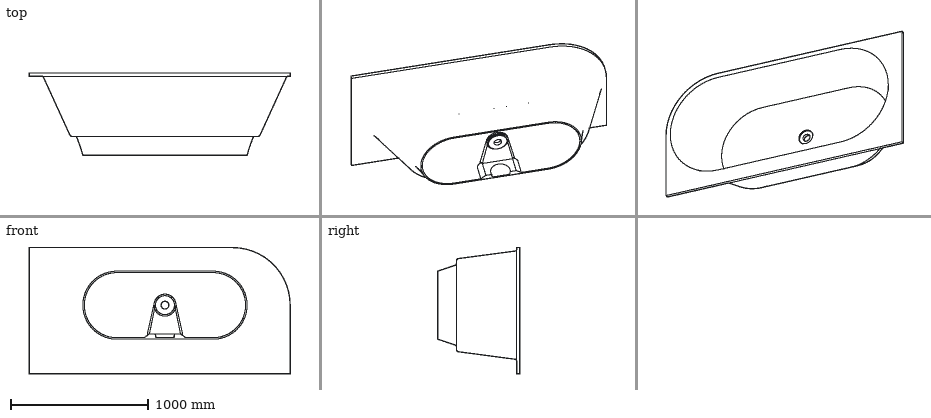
import cadquery as cq
import math


RIM_LENGTH = 1900.0
RIM_HEIGHT = 920.0
RIM_THICKNESS = 25.0
RIM_RADIUS = 420.0
RIM_RIGHT = 912.0
RIM_LEFT = RIM_RIGHT - RIM_LENGTH
RIM_TOP = RIM_RADIUS
RIM_BOTTOM = RIM_TOP - RIM_HEIGHT
RIM_FILLET = 10.0

TOTAL_DEPTH = 600.0
FLOOR_DEPTH = 463.0
RIM_END_CENTRE = RIM_RIGHT - RIM_RADIUS
BODY_RIM_RADIUS = 396.0
FLOOR_END_CENTRE = 350.0
BODY_FLOOR_RADIUS = 338.0
BODY_FLOOR_FILLET = 18.0
WALL = 11.0

SKIRT_TOP_RADIUS = 294.0
SKIRT_FOOT_RADIUS = 248.0
SKIRT_FILLET = 12.0
SKIRT_INSIDE_RADIUS = SKIRT_FOOT_RADIUS - WALL
SKIRT_INSIDE_FILLET = 16.0
UNDERSIDE_DEPTH = 465.0

DRAIN_DIAMETER = 55.0
DRAIN_SEAT_DIAMETER = 2 * DRAIN_DIAMETER
DRAIN_SEAT_THICKNESS = 24.0
BOSS_BASE_RADIUS = 80.0
BOSS_TOP_RADIUS = 69.0
PAD_HEIGHT = 13.0
PAD_DEPTH = UNDERSIDE_DEPTH + PAD_HEIGHT
BOSS_HEIGHT = 10.0
BOSS_DEPTH = PAD_DEPTH + BOSS_HEIGHT
PAD_FLANK = 15.0
PAD_FOOT_HALF_WIDTH = 113.0
SKIRT_PAD_THICKNESS = 28.0
SKIRT_PAD_TOP = SKIRT_PAD_THICKNESS - SKIRT_INSIDE_RADIUS
SKIRT_PAD_FLANK = 38.0
PAD_FOOT = SKIRT_PAD_TOP

RECESS_CENTRE_DEPTH = 581.0
RECESS_TOP_RADIUS = 72.0
RECESS_FLOOR_RADIUS = 67.0
RECESS_FLOOR_FILLET = 10.0

SELECT_MARGIN = 1.0
RIM_JOINT_REACH = (
    RIM_END_CENTRE + BODY_RIM_RADIUS + SELECT_MARGIN,
    BODY_RIM_RADIUS + SELECT_MARGIN,
)
SKIRT_JOINT_REACH = (
    FLOOR_END_CENTRE + SKIRT_TOP_RADIUS + SELECT_MARGIN,
    SKIRT_TOP_RADIUS + SELECT_MARGIN,
)


def plane_at(depth):
    """XZ plane at a depth below the rim face, with its normal toward -Y."""
    return cq.Workplane("XZ", origin=(0, -depth, 0))


def stadium(depth, end_centre, radius):
    """Stadium wire lying along X."""
    return (
        plane_at(depth)
        .moveTo(-end_centre, -radius)
        .lineTo(end_centre, -radius)
        .threePointArc((end_centre + radius, 0), (end_centre, radius))
        .lineTo(-end_centre, radius)
        .threePointArc((-end_centre - radius, 0), (-end_centre, -radius))
        .close()
        .val()
    )


def ruled(first, second):
    """Straight-sided solid between two closed wires."""
    return cq.Workplane(obj=cq.Solid.makeLoft([first, second], True))


def rim():
    return (
        plane_at(0)
        .moveTo(RIM_LEFT, RIM_BOTTOM)
        .lineTo(RIM_RIGHT, RIM_BOTTOM)
        .lineTo(RIM_RIGHT, 0)
        .radiusArc((RIM_END_CENTRE, RIM_TOP), -RIM_RADIUS)
        .lineTo(RIM_LEFT, RIM_TOP)
        .close()
        .extrude(RIM_THICKNESS)
    )


def body():
    tub = ruled(
        stadium(RIM_THICKNESS, RIM_END_CENTRE, BODY_RIM_RADIUS),
        stadium(FLOOR_DEPTH, FLOOR_END_CENTRE, BODY_FLOOR_RADIUS),
    )
    return tub.faces("<Y").edges().fillet(BODY_FLOOR_FILLET)


def skirt():
    return ruled(
        stadium(FLOOR_DEPTH, FLOOR_END_CENTRE, SKIRT_TOP_RADIUS),
        stadium(TOTAL_DEPTH, FLOOR_END_CENTRE, SKIRT_FOOT_RADIUS),
    )


def skirt_space():
    """Hollow of the skirt, from the underside of the floor to the open foot."""
    inside = stadium(UNDERSIDE_DEPTH, FLOOR_END_CENTRE, SKIRT_INSIDE_RADIUS)
    downward = cq.Vector(0, UNDERSIDE_DEPTH - TOTAL_DEPTH, 0)
    space = cq.Workplane(obj=cq.Solid.extrudeLinear(inside, [], downward))
    return space.faces(">Y").edges().fillet(SKIRT_INSIDE_FILLET)


def basin():
    return ruled(
        stadium(0, RIM_END_CENTRE, BODY_RIM_RADIUS - WALL),
        stadium(FLOOR_DEPTH - WALL, FLOOR_END_CENTRE, BODY_FLOOR_RADIUS - WALL),
    )


def slab_edges(solid, depth, half_length, half_height):
    """Edges that lie wholly in the plane at a depth, within a box around the Y axis."""
    low = (-half_length, -depth - SELECT_MARGIN, -half_height)
    high = (half_length, -depth + SELECT_MARGIN, half_height)
    return solid.edges(cq.selectors.BoxSelector(low, high, boundingbox=True))


def pad_profile(depth, arc_radius, foot_half_width):
    """Wire of the trap pad: round above the drain, with straight sides that spread to the foot."""
    foot_distance = math.hypot(foot_half_width, PAD_FOOT)
    tangent_angle = math.atan2(PAD_FOOT, foot_half_width) + math.acos(arc_radius / foot_distance)
    tangent_x = arc_radius * math.cos(tangent_angle)
    tangent_z = arc_radius * math.sin(tangent_angle)
    return (
        plane_at(depth)
        .moveTo(-foot_half_width, PAD_FOOT)
        .lineTo(foot_half_width, PAD_FOOT)
        .lineTo(tangent_x, tangent_z)
        .threePointArc((0, arc_radius), (-tangent_x, tangent_z))
        .close()
        .val()
    )


def trap_pad():
    return ruled(
        pad_profile(UNDERSIDE_DEPTH, BOSS_BASE_RADIUS, PAD_FOOT_HALF_WIDTH + PAD_FLANK),
        pad_profile(PAD_DEPTH, BOSS_TOP_RADIUS, PAD_FOOT_HALF_WIDTH),
    )


def boss():
    return ruled(
        plane_at(PAD_DEPTH).circle(BOSS_BASE_RADIUS).val(),
        plane_at(BOSS_DEPTH).circle(BOSS_TOP_RADIUS).val(),
    )


def skirt_pad():
    """Trapezoid bar along the lower skirt wall, from the floor to the foot, with the round recess."""
    bar = (
        plane_at(UNDERSIDE_DEPTH)
        .moveTo(-PAD_FOOT_HALF_WIDTH - SKIRT_PAD_FLANK, -SKIRT_INSIDE_RADIUS)
        .lineTo(PAD_FOOT_HALF_WIDTH + SKIRT_PAD_FLANK, -SKIRT_INSIDE_RADIUS)
        .lineTo(PAD_FOOT_HALF_WIDTH, SKIRT_PAD_TOP)
        .lineTo(-PAD_FOOT_HALF_WIDTH, SKIRT_PAD_TOP)
        .close()
        .extrude(TOTAL_DEPTH - UNDERSIDE_DEPTH)
    )
    cone = cq.Solid.makeCone(
        RECESS_FLOOR_RADIUS,
        RECESS_TOP_RADIUS,
        SKIRT_PAD_THICKNESS,
        pnt=cq.Vector(0, -RECESS_CENTRE_DEPTH, -SKIRT_INSIDE_RADIUS),
    )
    recess = cq.Workplane(obj=cone).faces("<Z").edges().fillet(RECESS_FLOOR_FILLET)
    return bar.cut(recess)


def drain_hole():
    """Through hole with a wider seat sunk into the basin floor."""
    seat_depth = BOSS_DEPTH - DRAIN_SEAT_THICKNESS
    seat = plane_at(0).circle(DRAIN_SEAT_DIAMETER / 2).extrude(seat_depth)
    return plane_at(0).circle(DRAIN_DIAMETER / 2).extrude(TOTAL_DEPTH).union(seat)


shell = rim().union(body()).union(skirt())
shell = slab_edges(shell, RIM_THICKNESS, *RIM_JOINT_REACH).fillet(RIM_FILLET)
shell = slab_edges(shell, FLOOR_DEPTH, *SKIRT_JOINT_REACH).fillet(SKIRT_FILLET)
shell = shell.cut(basin()).cut(skirt_space())
result = shell.union(trap_pad()).union(boss()).union(skirt_pad()).cut(drain_hole())